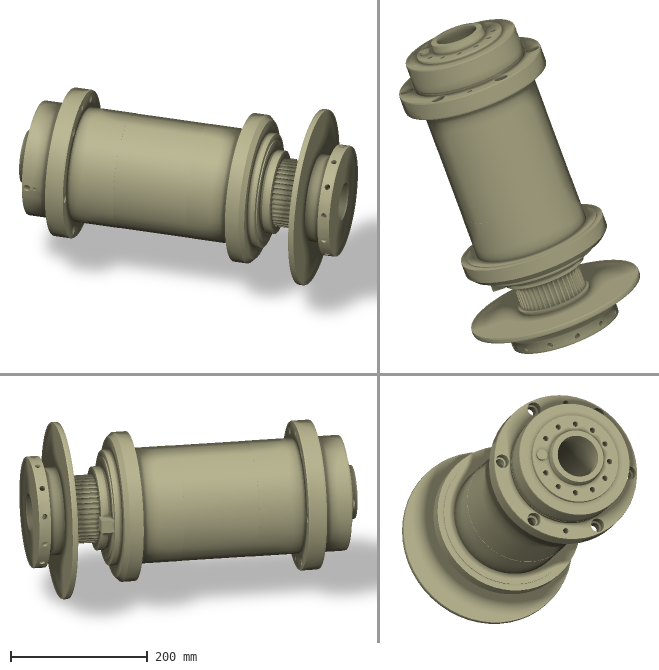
import cadquery as cq
import math


overall_length = 481.0
nose_length = 12.0
housing_start = 16.5
housing_seam = 55.5
front_flange_start = 58.0
front_flange_end = 85.0
relief_end = 87.0
sleeve_start = 154.5
sleeve_end = 266.0
pilot_start = 329.5
rear_flange_start = 331.0
rear_flange_bevel_start = 351.0
rear_flange_end = 358.5
housing_end = 369.0
rear_cover_end = 370.5
neck_end = 374.0
belt_guard_end = 385.5
pulley_end = 426.5
disc_start = 432.0
disc_end = 440.0
tail_ring_start = 463.5

nose_tip_diameter = 78.5
nose_base_diameter = 82.5
face_plate_diameter = 132.5
housing_diameter = 170.0
sleeve_diameter = 169.5
relief_diameter = 167.0
flange_diameter = 220.0
bevel_end_diameter = 206.0
pilot_diameter = 201.0
rear_cover_diameter = 151.0
neck_diameter = 118.0
belt_guard_diameter = 123.0
pulley_diameter = 100.0
pulley_flange_diameter = 109.5
disc_diameter = 260.0
hub_diameter = 129.0
tail_ring_diameter = 164.0

break_length = 2.0
break_depth = 0.5

clearance_groove_width = 1.5
clearance_groove_depth = 1.5

front_bore_diameter = 62.0
rear_bore_diameter = 56.0

bolt_count = 6
bolt_circle_diameter = 195.0
bolt_hole_diameter = 14.0
bolt_head_diameter = 20.0
bolt_head_depth = 13.0
jack_hole_diameter = 8.0

face_hole_count = 12
face_hole_radius = 52.5
face_hole_diameter = 8.0
face_hole_depth = 14.5
drive_button_diameter = 16.0
drive_button_height = 4.5

port_depth = 9.5
large_port_x = 24.0
large_port_diameter = 10.0
small_port_x = 36.0
small_port_diameter = 6.0

spanner_hole_count = 12
spanner_hole_x = 472.5
spanner_hole_diameter = 8.0
spanner_hole_depth = 19.0

tooth_count = 40
tooth_groove_diameter = 6.0
tooth_groove_radius = 49.0

sensor_width = 19.0
sensor_start = 366.5
sensor_end = 388.5
sensor_center_y = 70.5

drill_point_angle = 118.0

overlap = 2.5


def tube(start, end, diameter):
    """Solid cylinder on the spindle axis."""
    return cq.Workplane("YZ").workplane(offset=start).circle(diameter / 2).extrude(end - start)


def broken_edge_disc(start, end, diameter, break_start=True, break_end=True):
    """Cylinder on the spindle axis with one or both rims slightly bevelled."""
    rim_diameter = diameter - 2 * break_depth
    straight_start = start + break_length if break_start else start
    straight_end = end - break_length if break_end else end
    disc = tube(straight_start, straight_end, diameter)
    if break_start:
        disc = disc.union(cone_frustum(start, straight_start, rim_diameter, diameter))
    if break_end:
        disc = disc.union(cone_frustum(straight_end, end, diameter, rim_diameter))
    return disc


def cone_frustum(start, end, start_diameter, end_diameter):
    """Conical length on the spindle axis."""
    return (
        cq.Workplane("XY")
        .moveTo(start, 0)
        .lineTo(start, start_diameter / 2)
        .lineTo(end, end_diameter / 2)
        .lineTo(end, 0)
        .close()
        .revolve(360, (0, 0, 0), (1, 0, 0))
    )


def polar_point(radius, angle):
    """Point (y, z) around the spindle axis; the angle in degrees runs from +Y towards +Z."""
    return (radius * math.cos(math.radians(angle)), radius * math.sin(math.radians(angle)))


def drilled_hole(diameter, depth, position, direction):
    """Blind hole with a conical drill point."""
    radius = diameter / 2
    point_length = radius / math.tan(math.radians(drill_point_angle / 2))
    start = cq.Vector(*position)
    axis = cq.Vector(*direction)
    straight = cq.Solid.makeCylinder(radius, depth, start, axis)
    point = cq.Solid.makeCone(radius, 0, point_length, start + axis * depth, axis)
    return cq.Workplane(straight.fuse(point))


def turned_body():
    """All lengths of the spindle unit turned about the axis."""
    body = cone_frustum(0, nose_length, nose_tip_diameter, nose_base_diameter)
    lengths = [
        broken_edge_disc(nose_length, housing_start, face_plate_diameter, break_end=False),
        broken_edge_disc(housing_start, housing_seam, housing_diameter),
        tube(housing_seam, front_flange_start, housing_diameter),
        broken_edge_disc(front_flange_start, front_flange_end, flange_diameter),
        tube(front_flange_end, relief_end, relief_diameter),
        tube(relief_end, sleeve_start, housing_diameter),
        tube(sleeve_start, sleeve_end, sleeve_diameter),
        tube(sleeve_end, pilot_start, housing_diameter),
        tube(pilot_start, rear_flange_start, pilot_diameter),
        tube(rear_flange_start, rear_flange_bevel_start, flange_diameter),
        cone_frustum(rear_flange_bevel_start, rear_flange_end, flange_diameter, bevel_end_diameter),
        broken_edge_disc(rear_flange_end, housing_end, housing_diameter, break_start=False),
        tube(housing_end, rear_cover_end, rear_cover_diameter),
        tube(rear_cover_end, neck_end, neck_diameter),
        tube(neck_end, belt_guard_end, belt_guard_diameter),
        toothed_pulley(),
        tube(pulley_end, disc_start, pulley_flange_diameter),
        broken_edge_disc(disc_start, disc_end, disc_diameter),
        tube(disc_end, tail_ring_start, hub_diameter),
        broken_edge_disc(tail_ring_start, overall_length, tail_ring_diameter, break_start=False),
    ]
    for length in lengths:
        body = body.union(length)
    return body


def toothed_pulley():
    """Timing-belt pulley with round-bottomed grooves."""
    blank = tube(belt_guard_end, pulley_end, pulley_diameter)
    grooves = (
        cq.Workplane("YZ")
        .workplane(offset=belt_guard_end)
        .polarArray(tooth_groove_radius, 0, 360, tooth_count)
        .circle(tooth_groove_diameter / 2)
        .extrude(pulley_end - belt_guard_end)
    )
    return blank.cut(grooves)


def spindle_bore():
    """Through bore, wider from the nose to the disc."""
    return tube(0, disc_start, front_bore_diameter).union(tube(0, overall_length, rear_bore_diameter))


def flange_holes():
    """Counterbored bolt holes and two jacking holes through the front flange."""
    flange_face = cq.Workplane("YZ").workplane(offset=front_flange_start)
    thickness = front_flange_end - front_flange_start
    bolts = flange_face.polarArray(bolt_circle_diameter / 2, 0, 360, bolt_count)
    shanks = bolts.circle(bolt_hole_diameter / 2).extrude(thickness)
    heads = bolts.circle(bolt_head_diameter / 2).extrude(bolt_head_depth)
    jacks = (
        flange_face.polarArray(bolt_circle_diameter / 2, 90, 360, 2)
        .circle(jack_hole_diameter / 2)
        .extrude(thickness)
    )
    return shanks.union(heads).union(jacks)


def clearance_groove():
    """Narrow groove in the front flange face around the housing."""
    outer_diameter = housing_diameter + 2 * clearance_groove_width
    groove_end = front_flange_start + clearance_groove_depth
    outer = tube(front_flange_start, groove_end, outer_diameter)
    return outer.cut(tube(front_flange_start, groove_end, housing_diameter))


def drive_button():
    """Round button standing on the spindle face at +Y."""
    return (
        cq.Workplane("YZ")
        .workplane(offset=nose_length - drive_button_height)
        .center(face_hole_radius, 0)
        .circle(drive_button_diameter / 2)
        .extrude(drive_button_height + overlap)
    )


def sensor_block():
    """Square-section block standing out from the rear cover."""
    length = sensor_end - sensor_start
    return cq.Workplane("XY").box(length, sensor_width, sensor_width).translate(
        (sensor_start + length / 2, sensor_center_y, 0)
    )


result = turned_body().union(drive_button()).union(sensor_block())
result = result.cut(spindle_bore()).cut(flange_holes()).cut(clearance_groove())

for index in range(1, face_hole_count):
    y, z = polar_point(face_hole_radius, index * 360 / face_hole_count)
    hole = drilled_hole(face_hole_diameter, face_hole_depth, (nose_length, y, z), (1, 0, 0))
    result = result.cut(hole)

for port_x, port_diameter in ((large_port_x, large_port_diameter), (small_port_x, small_port_diameter)):
    port_floor = housing_diameter / 2 - port_depth
    port = (
        cq.Workplane("XZ")
        .workplane(offset=port_floor)
        .center(port_x, 0)
        .circle(port_diameter / 2)
        .extrude(port_depth + overlap)
    )
    result = result.cut(port)

spanner_pitch = 360 / spanner_hole_count
for index in range(spanner_hole_count):
    angle = (index + 0.5) * spanner_pitch
    y, z = polar_point(tail_ring_diameter / 2, angle)
    inward = (0, *polar_point(-1, angle))
    hole = drilled_hole(spanner_hole_diameter, spanner_hole_depth, (spanner_hole_x, y, z), inward)
    result = result.cut(hole)